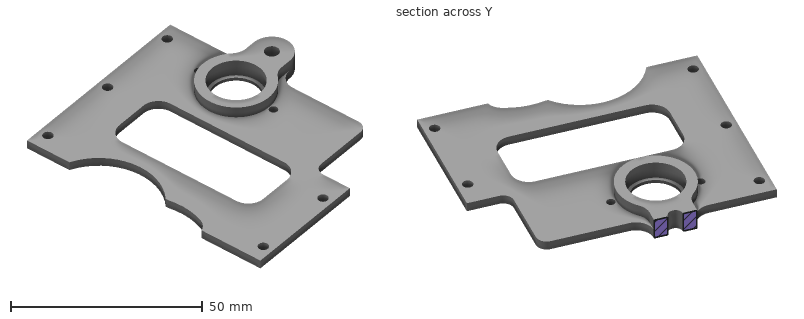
import cadquery as cq
import math

plate_length = 78.0
plate_width = 60.0
plate_thickness = 2.65
notch_length = 12.0
shoulder_width = 37.5
notch_fillet = 3.0

total_height = 6.0
boss_x = 30.0
boss_y = 50.0
boss_radius = 11.0
bearing_radius = 8.0
through_radius = 7.0
ledge_height = 1.0
lug_offset = 15.0
lug_radius = 6.0
lug_hole_diameter = 4.2
blend_radius = 5.0

window_left = 15.0
window_right = 63.0
window_bottom = 15.0
window_top = 35.0
window_fillet = 5.0

mount_hole_diameter = 3.0
mount_inset = 3.0
mount_first_y = 5.0
mount_pitch = 25.0
left_mount_count = 3
right_mount_count = 2
side_hole_diameter = 2.5
side_hole_offset = 12.5

scallop_radius = 17.5
scallop_depth = 10.0
step_start_x = 43.1
step_end_x = 43.9
recess_depth = 4.5
recess_peak_x = 48.5
recess_corner_x = 55.6
recess_corner_y = 3.0
recess_end_x = 58.35

lug_y = boss_y + lug_offset


def make_plate():
    """Flat plate with its upper right corner notched."""
    notch_x = plate_length - notch_length
    outline = (
        cq.Workplane("XY")
        .lineTo(plate_length, 0)
        .lineTo(plate_length, shoulder_width)
        .lineTo(notch_x, shoulder_width)
        .lineTo(notch_x, plate_width)
        .lineTo(0, plate_width)
        .close()
        .extrude(plate_thickness)
    )
    margin = notch_fillet
    notch_corners = cq.selectors.BoxSelector(
        (notch_x - margin, shoulder_width - margin, 0),
        (notch_x + margin, plate_width + margin, plate_thickness),
    )
    return outline.edges("|Z").edges(notch_corners).fillet(notch_fillet)


def make_lug_root():
    """Lug at plate level, flared by arcs into the plate's upper edge."""
    flare = lug_radius + blend_radius
    mid = blend_radius * math.sqrt(0.5)
    return (
        cq.Workplane("XY")
        .moveTo(boss_x - flare, plate_width)
        .threePointArc(
            (boss_x - flare + mid, lug_y - mid),
            (boss_x - lug_radius, lug_y),
        )
        .threePointArc((boss_x, lug_y + lug_radius), (boss_x + lug_radius, lug_y))
        .threePointArc(
            (boss_x + flare - mid, lug_y - mid),
            (boss_x + flare, plate_width),
        )
        .lineTo(boss_x + flare, boss_y)
        .lineTo(boss_x - flare, boss_y)
        .close()
        .extrude(plate_thickness)
    )


def make_boss():
    """Round boss joined to the lug by tangent blend arcs, above the plate."""
    blend_x = lug_radius + blend_radius
    blend_y = math.sqrt((boss_radius + blend_radius) ** 2 - blend_x ** 2)
    boss_share = boss_radius / (boss_radius + blend_radius)
    tangent_x = blend_x * boss_share
    tangent_y = blend_y * boss_share
    tangent_angle = math.pi + math.atan2(blend_y, blend_x)
    mid_angle = (math.pi + tangent_angle) / 2
    mid_x = blend_x + blend_radius * math.cos(mid_angle)
    mid_y = blend_y + blend_radius * math.sin(mid_angle)
    return (
        cq.Workplane("XY", origin=(boss_x, boss_y, 0))
        .moveTo(lug_radius, lug_offset)
        .lineTo(lug_radius, blend_y)
        .threePointArc((mid_x, mid_y), (tangent_x, tangent_y))
        .threePointArc((0, -boss_radius), (-tangent_x, tangent_y))
        .threePointArc((-mid_x, mid_y), (-lug_radius, blend_y))
        .lineTo(-lug_radius, lug_offset)
        .threePointArc((0, lug_offset + lug_radius), (lug_radius, lug_offset))
        .close()
        .extrude(total_height - plate_thickness)
        .translate((0, 0, plate_thickness))
    )


def cut_bearing_seat(body):
    """Stepped bore through the boss, and the hole through the lug."""
    seat = (
        cq.Workplane("XY", origin=(boss_x, boss_y, ledge_height))
        .circle(bearing_radius)
        .extrude(total_height)
    )
    bore = cq.Workplane("XY", origin=(boss_x, boss_y, 0)).circle(through_radius).extrude(total_height)
    lug_hole = (
        cq.Workplane("XY", origin=(boss_x, lug_y, 0))
        .circle(lug_hole_diameter / 2)
        .extrude(total_height)
    )
    return body.cut(seat).cut(bore).cut(lug_hole)


def cut_window(body):
    """Rounded rectangular window."""
    length = window_right - window_left
    width = window_top - window_bottom
    window = (
        cq.Workplane("XY")
        .center(window_left + length / 2, window_bottom + width / 2)
        .rect(length, width)
        .extrude(plate_thickness)
        .edges("|Z")
        .fillet(window_fillet)
    )
    return body.cut(window)


def cut_plate_holes(body):
    """Mounting holes along both sides, and one hole on each side of the boss."""
    right_x = plate_length - mount_inset
    left_holes = [(mount_inset, mount_first_y + i * mount_pitch) for i in range(left_mount_count)]
    right_holes = [(right_x, mount_first_y + i * mount_pitch) for i in range(right_mount_count)]
    mounts = (
        cq.Workplane("XY")
        .pushPoints(left_holes + right_holes)
        .circle(mount_hole_diameter / 2)
        .extrude(plate_thickness)
    )
    sides = (
        cq.Workplane("XY")
        .pushPoints([(boss_x - side_hole_offset, boss_y), (boss_x + side_hole_offset, boss_y)])
        .circle(side_hole_diameter / 2)
        .extrude(plate_thickness)
    )
    return body.cut(mounts).cut(sides)


def cut_lower_edge(body):
    """Large round scallop and, past a short flat, a shallow recess of two tangent arcs."""
    centre_y = scallop_depth - scallop_radius
    half_chord = math.sqrt(scallop_radius ** 2 - centre_y ** 2)
    step_y = centre_y + math.sqrt(scallop_radius ** 2 - (step_start_x - boss_x) ** 2)
    cutter = (
        cq.Workplane("XY")
        .moveTo(boss_x - half_chord, 0)
        .threePointArc((boss_x, scallop_depth), (step_start_x, step_y))
        .lineTo(step_end_x, step_y)
        .threePointArc((recess_peak_x, recess_depth), (recess_corner_x, recess_corner_y))
        .tangentArcPoint((recess_end_x, 0), relative=False)
        .close()
        .extrude(plate_thickness)
    )
    return body.cut(cutter)


result = make_plate().union(make_lug_root()).union(make_boss())
result = cut_bearing_seat(result)
result = cut_window(result)
result = cut_plate_holes(result)
result = cut_lower_edge(result)